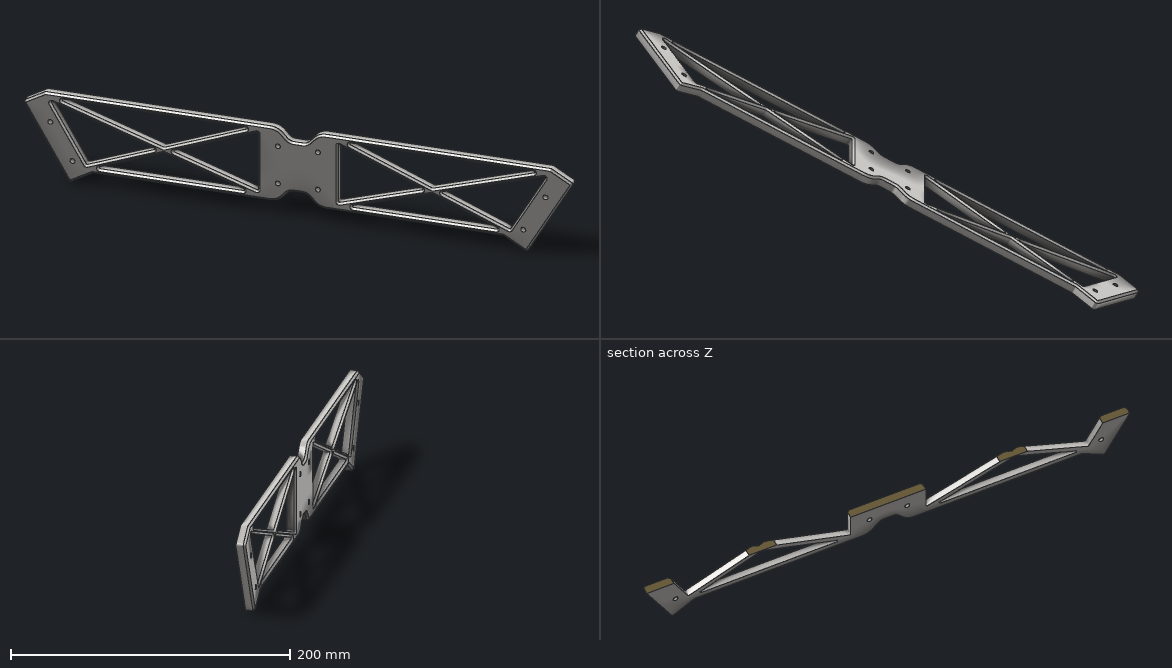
import cadquery as cq
import math

length = 412.5
height = 69.5
thickness = 7.0
rail_height = 60.0
edge_bevel = 1.55

tab_tilt = math.radians(30)
tab_length = 69.7
outline_corner_radius = 2.0
tab_wall = 19.0

notch_half_top = 22.0
notch_half_floor = 3.5
notch_depth = 10.0
notch_top_pull = 12.0
notch_floor_pull = 7.5

rail_width = 4.0
brace_width = 3.85
brace_overrun = 8.3
hub_half_width = 30.0
window_corner_radius = 1.0

hole_diameter = 3.7
hub_hole_pitch = 30.0
tab_hole_pitch = 33.5
tab_hole_inset = 11.0
tab_hole_offset = 38.8

corner_loss = outline_corner_radius * (math.sin(tab_tilt) + math.cos(tab_tilt) - 1)
sharp_half_length = length / 2 + corner_loss
rail_top = rail_height / 2

edge_down = cq.Vector(-math.sin(tab_tilt), -math.cos(tab_tilt))
edge_inward = cq.Vector(-math.cos(tab_tilt), math.sin(tab_tilt))
tab_low = rail_top - height - corner_loss
tab_upper_corner = cq.Vector(sharp_half_length, tab_low + tab_length * math.cos(tab_tilt))
tab_lower_corner = tab_upper_corner + edge_down * tab_length


def back_plane():
    """Sketch plane on the back face; extruding from it by the thickness reaches the front face."""
    return cq.Workplane("XZ", origin=(0, thickness / 2, 0))


def along(start, direction, level):
    """Point at the given Z level on the line through start."""
    return start + direction * ((level - start.y) / direction.y)


def mirrored(points):
    """The same points on the other half of the plate, in reverse order."""
    return [cq.Vector(-p.x, p.y) for p in reversed(points)]


def notch():
    """Cutter for the top notch: flat floor and S-shaped flanks that run smoothly into the rails."""
    floor = rail_top - notch_depth
    flank = [
        (notch_half_top, rail_top),
        (notch_half_top - notch_top_pull, rail_top),
        (notch_half_floor + notch_floor_pull, floor),
        (notch_half_floor, floor),
    ]
    far_flank = [(-x, z) for x, z in reversed(flank)]
    return (
        back_plane()
        .moveTo(*flank[0])
        .bezier(flank)
        .lineTo(*far_flank[0])
        .bezier(far_flank)
        .close()
        .extrude(thickness)
    )


def outline():
    """Solid plate with slanted tabs and a smooth waist notch in each long side."""
    right_side = [
        along(tab_upper_corner, edge_inward, rail_top),
        tab_upper_corner,
        tab_lower_corner,
        along(tab_lower_corner, edge_inward, -rail_top),
    ]
    sketch = back_plane().polyline([(p.x, p.y) for p in right_side + mirrored(right_side)]).close()
    plate = sketch.extrude(thickness)
    plate = plate.edges("|Y").fillet(outline_corner_radius)
    top_notch = notch()
    return plate.cut(top_notch).cut(top_notch.mirror("XY"))


def brace(start, end):
    """Diagonal bar between two window corners, running past both of them."""
    run = end - start
    middle = (start + end) * 0.5
    return (
        back_plane()
        .center(middle.x, middle.y)
        .transformed(rotate=(0, 0, math.degrees(math.atan2(run.y, run.x))))
        .rect(run.Length + 2 * brace_overrun, brace_width)
        .extrude(thickness)
    )


def right_windows():
    """Four triangular through-windows left between the crossed braces."""
    top = rail_top - rail_width
    wall = tab_upper_corner + edge_inward * tab_wall
    corners = [
        cq.Vector(hub_half_width, top),
        along(wall, edge_down, top),
        along(wall, edge_down, -top),
        cq.Vector(hub_half_width, -top),
    ]
    opening = back_plane().polyline([(c.x, c.y) for c in corners]).close()
    opening = opening.extrude(thickness)
    opening = opening.cut(brace(corners[0], corners[2])).cut(brace(corners[1], corners[3]))
    return opening.edges("|Y").fillet(window_corner_radius)


def holes():
    """Four screw holes in the hub and two in each tab."""
    pair_middle = tab_upper_corner + edge_down * tab_hole_offset + edge_inward * tab_hole_inset
    half_step = edge_down * (tab_hole_pitch / 2)
    right = [pair_middle - half_step, pair_middle + half_step]
    tab_points = [(p.x, p.y) for p in right + mirrored(right)]
    radius = hole_diameter / 2
    hub_holes = back_plane().rarray(hub_hole_pitch, hub_hole_pitch, 2, 2).circle(radius).extrude(thickness)
    tab_holes = back_plane().pushPoints(tab_points).circle(radius).extrude(thickness)
    return hub_holes.union(tab_holes)


windows = right_windows()
frame = outline().cut(windows).cut(windows.mirror("YZ"))
frame = frame.faces("<Y").edges().chamfer(edge_bevel)
result = frame.cut(holes())